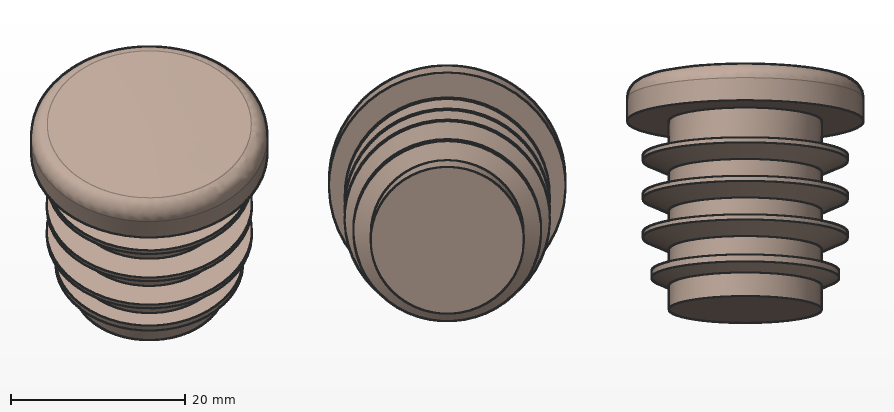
import cadquery as cq
import math


head_diameter = 27.2
head_radius = head_diameter / 2
head_height = 5.0
dome_rise = 0.5
head_edge_fillet = 2.0

stem_diameter = 17.6
stem_radius = stem_diameter / 2
stem_length = 22.0

fin_count = 4
fin_pitch = 4.5
fin_taper_angle = 25.0
fin_diameter = 23.6
fin_depth = 2.0
end_fin_diameter = 21.6
end_fin_depth = 1.75


def revolve_about_axis(profile):
    """Full turn of an XZ profile about the Z axis."""
    return profile.revolve(axisStart=(0, 0, 0), axisEnd=(0, 1, 0))


def make_head():
    """Disc with a spherical dome on top and a rounded upper edge."""
    top_height = stem_length + head_height
    edge_height = top_height - dome_rise
    dome_radius = (head_radius**2 + dome_rise**2) / (2 * dome_rise)
    middle_radius = head_radius / 2
    dome_center_height = top_height - dome_radius
    middle_height = dome_center_height + math.sqrt(dome_radius**2 - middle_radius**2)
    profile = (
        cq.Workplane("XZ")
        .moveTo(0, stem_length)
        .lineTo(head_radius, stem_length)
        .lineTo(head_radius, edge_height)
        .threePointArc((middle_radius, middle_height), (0, top_height))
        .close()
    )
    head = revolve_about_axis(profile)
    upper_edge = cq.NearestToPointSelector((0, 0, edge_height))
    return head.edges(upper_edge).fillet(head_edge_fillet)


def make_stem():
    """Plain solid cylinder from the free end to the head."""
    return cq.Workplane("XY").circle(stem_radius).extrude(stem_length)


def make_fin(top_height, diameter, depth):
    """Fin with its flat face at top_height, solid through to the axis."""
    rim_radius = diameter / 2
    taper_height = (rim_radius - stem_radius) * math.tan(math.radians(fin_taper_angle))
    bottom_height = top_height - depth
    profile = (
        cq.Workplane("XZ")
        .moveTo(0, bottom_height)
        .lineTo(stem_radius, bottom_height)
        .lineTo(rim_radius, bottom_height + taper_height)
        .lineTo(rim_radius, top_height)
        .lineTo(0, top_height)
        .close()
    )
    return revolve_about_axis(profile)


result = make_stem().union(make_head())
result = result.union(make_fin(fin_pitch, end_fin_diameter, end_fin_depth))
for step in range(1, fin_count):
    top_height = fin_pitch * (step + 1)
    result = result.union(make_fin(top_height, fin_diameter, fin_depth))